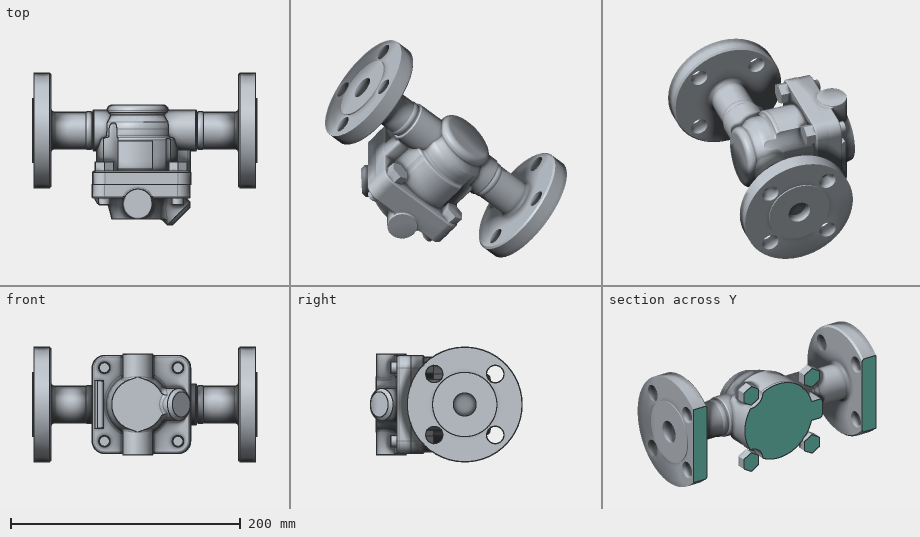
import cadquery as cq
import math

OVERALL_LENGTH = 195.0
BORE_DIAMETER = 20.0
BORE_DEPTH = 10.0
PIPE_DIAMETER = 32.0
WELD_DIAMETER = 33.5
WELD_INNER_X = 46.0
WELD_OUTER_X = 51.3
SOCKET_DIAMETER = 36.0
SOCKET_END_X = 45.0
SOCKET_CHAMFER = 0.8

FLANGE_DIAMETER = 100.0
FLANGE_THICKNESS = 15.0
FLANGE_CHAMFER = 1.5
FACE_DIAMETER = 56.0
FACE_HEIGHT = 1.0
FLANGE_HOLE_DIAMETER = 15.0
FLANGE_HOLE_CIRCLE = 75.0
FLANGE_HOLE_COUNT = 4
NECK_LENGTH = 3.5
NECK_DIAMETER = 37.0
NECK_CURVE = 0.3

BODY_X = -6.2
BODY_RADIUS = 36.0
BODY_SHOULDER_Y = -4.4
BELL_RADIUS = 32.3
BELL_TOP_Y = 1.2
CONE_RADIUS = 31.0
CONE_Y = 7.4
NECK_RADIUS = 26.0
NECK_Y = 13.7
HEAD_RADIUS = 26.8
HEAD_LOWER_Y = 15.8
HEAD_TOP_Y = 22.2
HEAD_ROUNDING = 5.0

LABEL_HEIGHT = 0.5
LABEL_RIGHT_X = 6.8
LABEL_LEFT_X = -28.0
LABEL_TOP_Y = -9.2
LABEL_LOW_Y = -33.5

BOLT_CENTRE_X = -3.1
BODY_PLATE_X = -2.7
COVER_X = -3.2
PLATE_SIZE = 85.5
COVER_SIZE = 85.3
PLATE_CORNER_RADIUS = 11.0
BODY_PLATE_BACK_Y = -35.3
JOINT_Y = -46.8
COVER_FRONT_Y = -58.9
BODY_PLATE_CHAMFER = 1.2
COVER_ROUNDING = 1.5

BOLT_SPACING = 64.0
BOLT_DIAMETER = 10.0
BOLT_END_Y = -64.8
BOLT_CHAMFER = 0.6
NUT_ACROSS_FLATS = 16.0
NUT_BACK_Y = -27.2
WRENCH_RADIUS = 12.0
WRENCH_TOP_Y = 8.6
WRENCH_ROUNDING = 3.0

DOME_X = -6.0
DOME_END_Y = -77.05
DOME_BASE_RADIUS = 27.7
DOME_END_RADIUS = 22.7
BOSS_DIAMETER = 26.0
BOSS_Y = -64.0
BOSS_HALF_LENGTH = 44.0
BOSS_ROUNDING = 0.6
PLUG_DIAMETER = 28.0
PLUG_CHAMFER = 3.0
PLUG_END_X = 31.8
PLUG_TIP_Y = -82.21
PLUG_LENGTH = 36.0
FOOT_FILLET = 2.0
BLEND_MARGIN = 6.0
TOLERANCE = 0.01
COLLAR_FILLET = 1.2
PLUG_BLEND_FILLET = 4.0

PAD_LEFT_X = -43.4
PAD_WIDTH = 7.4
PAD_LENGTH = 42.0
PAD_FRONT_Y = -63.7
PAD_ROUNDING = 1.2
PAD_SLOPE_WIDTH = 2.4
PAD_SLOPE_DEPTH = 3.8

LUG_INNER_X = 20.0
LUG_OUTER_X = 40.0
LUG_HALF_HEIGHT = 9.3
LUG_BACK_Y = -16.8
LUG_ROUNDING = 3.0


def cylinder_along_y(x, z, radius, y_low, y_high):
    base = cq.Workplane("XZ", origin=(x, y_low, z)).circle(radius)
    return base.extrude(y_low - y_high)


def square_plate(x, size, y_low, y_high):
    base = cq.Workplane("XZ", origin=(x, y_low, 0)).rect(size, size)
    return base.extrude(y_low - y_high).edges("|Y").fillet(PLATE_CORNER_RADIUS)


def bolt_positions():
    half = BOLT_SPACING / 2
    return [(BOLT_CENTRE_X + side * half, level * half) for side in (-1, 1) for level in (-1, 1)]


def make_pipe_end():
    """Flange, pipe, weld bead and socket on the +X side, with a blind bore."""
    end_x = OVERALL_LENGTH / 2
    front_x = end_x - FACE_HEIGHT
    back_x = front_x - FLANGE_THICKNESS
    pipe_r = PIPE_DIAMETER / 2
    neck_r = NECK_DIAMETER / 2
    neck_mid = (back_x - NECK_CURVE * NECK_LENGTH, pipe_r + NECK_CURVE * (neck_r - pipe_r))
    flange_r = FLANGE_DIAMETER / 2
    profile = (
        cq.Workplane("XY")
        .moveTo(0, 0)
        .lineTo(0, SOCKET_DIAMETER / 2)
        .lineTo(SOCKET_END_X - SOCKET_CHAMFER, SOCKET_DIAMETER / 2)
        .lineTo(SOCKET_END_X, SOCKET_DIAMETER / 2 - SOCKET_CHAMFER)
        .lineTo(SOCKET_END_X, pipe_r)
        .lineTo(WELD_INNER_X, pipe_r)
        .threePointArc(
            ((WELD_INNER_X + WELD_OUTER_X) / 2, WELD_DIAMETER / 2),
            (WELD_OUTER_X, pipe_r),
        )
        .lineTo(back_x - NECK_LENGTH, pipe_r)
        .threePointArc(neck_mid, (back_x, neck_r))
        .lineTo(back_x, flange_r - FLANGE_CHAMFER)
        .lineTo(back_x + FLANGE_CHAMFER, flange_r)
        .lineTo(front_x, flange_r)
        .lineTo(front_x, FACE_DIAMETER / 2)
        .lineTo(end_x, FACE_DIAMETER / 2)
        .lineTo(end_x, 0)
        .close()
    )
    pipe_end = profile.revolve(360, (0, 0, 0), (1, 0, 0))
    holes = (
        cq.Workplane("YZ", origin=(back_x, 0, 0))
        .polarArray(FLANGE_HOLE_CIRCLE / 2, 45, 360, FLANGE_HOLE_COUNT)
        .circle(FLANGE_HOLE_DIAMETER / 2)
        .extrude(FLANGE_THICKNESS)
    )
    bore = (
        cq.Workplane("YZ", origin=(end_x - BORE_DEPTH, 0, 0))
        .circle(BORE_DIAMETER / 2)
        .extrude(BORE_DEPTH)
    )
    return pipe_end.cut(holes).cut(bore)


def make_label_pad():
    """Slightly raised stretch of the upper body wall, bounded by flat ends."""
    ring = cylinder_along_y(BODY_X, 0, BODY_RADIUS + LABEL_HEIGHT, LABEL_LOW_Y, LABEL_TOP_Y)
    width = LABEL_RIGHT_X - LABEL_LEFT_X
    length = LABEL_TOP_Y - LABEL_LOW_Y
    limits = cq.Workplane("XY").box(width, length, 2 * BODY_RADIUS, centered=(False, False, False))
    return ring.intersect(limits.translate((LABEL_LEFT_X, LABEL_LOW_Y, 0)))


def make_body():
    """Turned body with wrench clearances cut around the four bolts."""
    shoulder_r = (BODY_RADIUS - BELL_RADIUS) / 2
    profile = (
        cq.Workplane("XY", origin=(BODY_X, 0, 0))
        .moveTo(0, JOINT_Y)
        .lineTo(BODY_RADIUS, JOINT_Y)
        .lineTo(BODY_RADIUS, BODY_SHOULDER_Y - 2 * shoulder_r)
        .radiusArc((BODY_RADIUS - shoulder_r, BODY_SHOULDER_Y - shoulder_r), -shoulder_r)
        .radiusArc((BELL_RADIUS, BODY_SHOULDER_Y), shoulder_r)
        .lineTo(BELL_RADIUS, BELL_TOP_Y)
        .tangentArcPoint((CONE_RADIUS, CONE_Y), relative=False)
        .lineTo(NECK_RADIUS, NECK_Y)
        .lineTo(HEAD_RADIUS, HEAD_LOWER_Y)
        .lineTo(HEAD_RADIUS, HEAD_TOP_Y - HEAD_ROUNDING)
        .radiusArc((HEAD_RADIUS - HEAD_ROUNDING, HEAD_TOP_Y), -HEAD_ROUNDING)
        .lineTo(0, HEAD_TOP_Y)
        .close()
    )
    body = profile.revolve(360, (0, 0, 0), (0, 1, 0)).union(make_label_pad())
    for x, z in bolt_positions():
        clearance = cylinder_along_y(x, z, WRENCH_RADIUS, BODY_PLATE_BACK_Y, WRENCH_TOP_Y)
        body = body.cut(clearance.faces(">Y").edges().fillet(WRENCH_ROUNDING))
    return body


def make_nut(x, z):
    corner_diameter = NUT_ACROSS_FLATS / math.cos(math.radians(30))
    base = cq.Workplane("XZ", origin=(x, BODY_PLATE_BACK_Y, z)).transformed(rotate=(0, 0, 30))
    return base.polygon(6, corner_diameter).extrude(BODY_PLATE_BACK_Y - NUT_BACK_Y)


def make_body_plate():
    plate = square_plate(BODY_PLATE_X, PLATE_SIZE, JOINT_Y, BODY_PLATE_BACK_Y)
    plate = plate.faces(">Y").edges().chamfer(BODY_PLATE_CHAMFER)
    for x, z in bolt_positions():
        plate = plate.union(make_nut(x, z))
    return plate


def make_bolt(x, z):
    bolt = cylinder_along_y(x, z, BOLT_DIAMETER / 2, BOLT_END_Y, JOINT_Y)
    return bolt.faces("<Y").edges().chamfer(BOLT_CHAMFER)


def make_lug():
    width = LUG_OUTER_X - LUG_INNER_X
    length = LUG_BACK_Y - BODY_PLATE_BACK_Y
    lug = cq.Workplane("XY").box(width, length, 2 * LUG_HALF_HEIGHT)
    lug = lug.edges("|Y and >X").fillet(LUG_ROUNDING)
    return lug.translate((LUG_INNER_X + width / 2, BODY_PLATE_BACK_Y + length / 2, 0))


def make_dome(extra_length=0.0):
    """Cone standing on the cover, optionally continued past its front face."""
    slope = (DOME_BASE_RADIUS - DOME_END_RADIUS) / (COVER_FRONT_Y - DOME_END_Y)
    profile = (
        cq.Workplane("XY", origin=(DOME_X, 0, 0))
        .moveTo(0, JOINT_Y)
        .lineTo(DOME_BASE_RADIUS, JOINT_Y)
        .lineTo(DOME_BASE_RADIUS, COVER_FRONT_Y)
        .lineTo(DOME_END_RADIUS - slope * extra_length, DOME_END_Y - extra_length)
        .lineTo(0, DOME_END_Y - extra_length)
        .close()
    )
    return profile.revolve(360, (0, 0, 0), (0, 1, 0))


def make_vertical_boss(half_length):
    base = cq.Workplane("XY", origin=(DOME_X, BOSS_Y, -half_length))
    return base.circle(BOSS_DIAMETER / 2).extrude(2 * half_length)


def make_plug():
    """Boss leaning 45 degrees between +X and -Y, its rim touching PLUG_TIP_Y."""
    end_radius = PLUG_DIAMETER / 2 - PLUG_CHAMFER
    end_y = PLUG_TIP_Y + end_radius * math.sin(math.radians(45))
    end_plane = cq.Plane(origin=(PLUG_END_X, end_y, 0), xDir=(0, 0, 1), normal=(1, -1, 0))
    plug = cq.Workplane(end_plane).circle(PLUG_DIAMETER / 2).extrude(-PLUG_LENGTH)
    outer_end = cq.selectors.DirectionMinMaxSelector(cq.Vector(1, -1, 0))
    return plug.faces(outer_end).edges().chamfer(PLUG_CHAMFER)


def make_pad():
    depth = COVER_FRONT_Y - PAD_FRONT_Y
    pad = cq.Workplane("XY").box(PAD_WIDTH, depth, PAD_LENGTH)
    pad = pad.faces("<Y").edges("<X").chamfer(PAD_SLOPE_DEPTH, PAD_SLOPE_WIDTH)
    pad = pad.faces("<Y").edges("|X or >X").fillet(PAD_ROUNDING)
    return pad.translate((PAD_LEFT_X + PAD_WIDTH / 2, COVER_FRONT_Y - depth / 2, 0))


def front_slab():
    """Oversized block whose front face lies in the front face of the cover plate."""
    base = cq.Workplane("XZ", origin=(0, COVER_FRONT_Y, 0))
    return base.rect(2 * COVER_SIZE, COVER_SIZE).extrude(COVER_FRONT_Y - BODY_PLATE_BACK_Y)


def foot_on_cover(shape):
    """Add a fillet where a shape stands on the cover front; keep what lies in front of it."""
    slab = front_slab()
    reach = COVER_SIZE / 2 + TOLERANCE
    foot_zone = cq.selectors.BoxSelector(
        (-reach, COVER_FRONT_Y - TOLERANCE, -reach),
        (reach, COVER_FRONT_Y + TOLERANCE, reach),
        boundingbox=True,
    )
    return slab.union(shape).edges(foot_zone).fillet(FOOT_FILLET).cut(slab)


def make_boss_ends():
    """Boss ends past the upper and lower sides of the cover, with fillets around their feet."""
    width = 2 * BOSS_DIAMETER
    reach = COVER_SIZE / 2 + TOLERANCE
    block = cq.Workplane("XY", origin=(DOME_X, BOSS_Y, 0)).box(width, width, COVER_SIZE)
    foot_zone = cq.selectors.BoxSelector(
        (DOME_X - BOSS_DIAMETER, BOSS_Y - BOSS_DIAMETER / 2 - TOLERANCE, -reach),
        (DOME_X + BOSS_DIAMETER, BOSS_Y + BOSS_DIAMETER / 2 + TOLERANCE, reach),
        boundingbox=True,
    )
    collars = block.union(make_vertical_boss(BOSS_HALF_LENGTH + COLLAR_FILLET))
    collars = collars.edges("%CIRCLE").edges(foot_zone).fillet(COLLAR_FILLET).cut(block)
    limits = cq.Workplane("XY").box(width, width, 2 * BOSS_HALF_LENGTH)
    collars = collars.intersect(limits.translate((DOME_X, COVER_FRONT_Y + width / 2, 0)))
    boss = make_vertical_boss(BOSS_HALF_LENGTH).faces("<Z or >Z").edges().fillet(BOSS_ROUNDING)
    return collars.union(boss.cut(block))


def blend(first, second, radius):
    """Join two shapes and fillet the curves along which they meet."""
    joined = first.union(second)
    return joined.edges("%BSPLINE or %ELLIPSE").fillet(radius)


def make_dome_with_bosses():
    """Dome blended with both vertical bosses, cut flat at the dome's front face."""
    boss = make_vertical_boss(COVER_SIZE / 2)
    joined = blend(make_dome(BLEND_MARGIN), boss, FOOT_FILLET)
    excess = cylinder_along_y(DOME_X, 0, COVER_SIZE, DOME_END_Y - BLEND_MARGIN, DOME_END_Y)
    return joined.cut(excess)


def make_cover_plate():
    plate = square_plate(COVER_X, COVER_SIZE, COVER_FRONT_Y, JOINT_Y)
    plate = plate.faces("<Y").edges().fillet(COVER_ROUNDING).union(make_pad())
    for x, z in bolt_positions():
        plate = plate.union(make_bolt(x, z))
    return plate


def make_cover():
    dome = make_dome()
    plug = make_plug()
    cover = make_cover_plate()
    cover = cover.union(foot_on_cover(make_vertical_boss(COVER_SIZE / 2)))
    cover = cover.union(foot_on_cover(dome)).union(make_dome_with_bosses())
    cover = cover.union(foot_on_cover(plug)).union(blend(dome, plug, PLUG_BLEND_FILLET))
    return cover.union(make_boss_ends())


outlet = make_pipe_end()
inlet = outlet.mirror("YZ")
result = inlet.union(outlet).union(make_body()).union(make_body_plate()).union(make_lug())
result = result.union(make_cover())